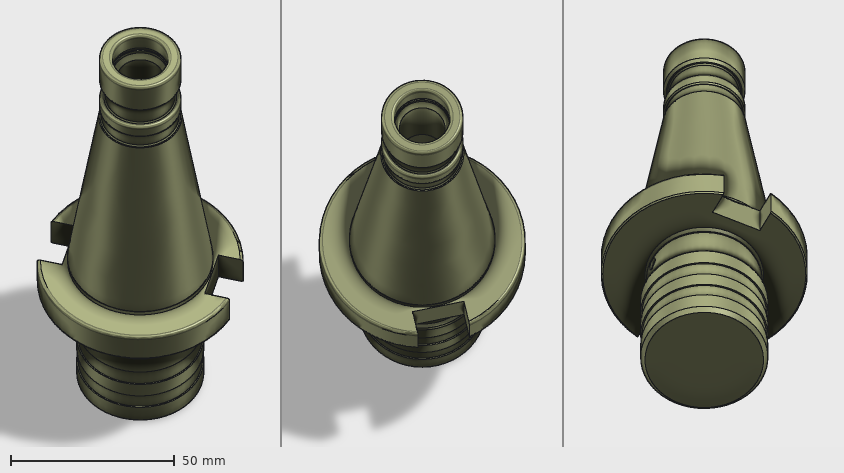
import cadquery as cq
import math

total_height = 148.4
small_chamfer = 0.5

ring_radius = 19.5
ring_groove_radius = 19.0
grip_bottom_chamfer = 1.3
ring_edge_heights = [7.3, 12.6, 18.0, 23.7]
grip_top = 30.3

neck_radius = 17.7
neck_top = 41.5
undercut_radius = 17.2
undercut_lower_slope = 0.7
undercut_upper_slope = 0.9

flange_diameter = 62.9
flange_radius = flange_diameter / 2
flange_bottom = 43.6
flange_top = 53.7
flange_fillet = 0.96
slot_width = 16.0
slot_flat_distance = 22.5

taper_ratio = 7 / 24
taper_bottom = 55.2
taper_top = 120.6
taper_large_radius = 22.3
taper_small_radius = taper_large_radius - (taper_top - taper_bottom) * taper_ratio / 2
taper_groove_radius = 21.8
taper_groove_slope = 0.9

lower_neck_radius = 11.9
collar_radius = 12.5
collar_bottom = 125.2
collar_top = 130.0
upper_neck_radius = 10.7
head_bottom = 137.1
head_chamfer = 0.9
rim_fillet = 0.96

bore_radius = 8.5
relief_radius = 8.9
relief_start = 5.5
relief_end = 6.8
bore_depth = 7.9
pilot_radius = 7.0
pilot_depth = 29.7
drill_half_angle = 59.0

screw_height = 38.9
screw_mouth_diameter = 4.0
screw_mouth_radius = screw_mouth_diameter / 2
screw_radius = 1.3
screw_depth = 2.2
screw_pilot_radius = 0.7
screw_pilot_depth = 3.7


def revolve_outline(outline):
    """Turn a closed (radius, height) outline around the Z axis."""
    return cq.Workplane("YZ").polyline(outline).close().revolve(360, (0, 0), (0, 1))


def round_rim(body, radius, height, fillet):
    """Fillet the circular edge with the given radius and height."""
    def is_rim(edge):
        if edge.geomType() != "CIRCLE":
            return False
        return math.isclose(edge.radius(), radius) and math.isclose(edge.Center().z, height)
    return body.edges().filter(is_rim).fillet(fillet)


def make_body():
    """Turned body, outlined from the bottom centre up to the top centre."""
    outline = [
        (0, 0),
        (ring_radius - grip_bottom_chamfer, 0),
        (ring_radius, grip_bottom_chamfer),
    ]
    radius, next_radius = ring_radius, ring_groove_radius
    for height in ring_edge_heights:
        outline += [(radius, height), (next_radius, height)]
        radius, next_radius = next_radius, radius
    outline += [
        (ring_radius, grip_top - small_chamfer),
        (ring_radius - small_chamfer, grip_top),
        (neck_radius, grip_top),
        (neck_radius, neck_top),
        (undercut_radius, neck_top + undercut_lower_slope),
        (undercut_radius, flange_bottom - undercut_upper_slope),
        (undercut_radius + undercut_upper_slope, flange_bottom),
        (flange_radius - small_chamfer, flange_bottom),
        (flange_radius, flange_bottom + small_chamfer),
        (flange_radius, flange_top),
        (taper_large_radius, flange_top),
        (taper_groove_radius, flange_top + taper_groove_slope),
        (taper_groove_radius, taper_bottom - small_chamfer),
        (taper_large_radius, taper_bottom),
        (taper_small_radius, taper_top),
        (lower_neck_radius + small_chamfer, taper_top),
        (lower_neck_radius, taper_top + small_chamfer),
        (lower_neck_radius, collar_bottom),
        (collar_radius - small_chamfer, collar_bottom),
        (collar_radius, collar_bottom + small_chamfer),
        (collar_radius, collar_top),
        (upper_neck_radius + small_chamfer, collar_top),
        (upper_neck_radius, collar_top + small_chamfer),
        (upper_neck_radius, head_bottom - small_chamfer),
        (upper_neck_radius + small_chamfer, head_bottom),
        (collar_radius - head_chamfer, head_bottom),
        (collar_radius, head_bottom + head_chamfer),
        (collar_radius, total_height),
        (0, total_height),
    ]
    body = revolve_outline(outline)
    body = round_rim(body, flange_radius, flange_top, flange_fillet)
    return round_rim(body, collar_radius, collar_top, rim_fillet)


def make_bore():
    """Bore with a relief groove, narrowing at 45 degrees to a drilled pilot."""
    step_end = bore_depth + bore_radius - pilot_radius
    tip_depth = pilot_depth + pilot_radius / math.tan(math.radians(drill_half_angle))
    return revolve_outline([
        (0, total_height),
        (bore_radius, total_height),
        (bore_radius, total_height - relief_start),
        (relief_radius, total_height - relief_start),
        (relief_radius, total_height - relief_end),
        (bore_radius, total_height - relief_end),
        (bore_radius, total_height - bore_depth),
        (pilot_radius, total_height - step_end),
        (pilot_radius, total_height - pilot_depth),
        (0, total_height - tip_depth),
    ])


def make_slots():
    """Two drive slots on opposite sides, through the full flange thickness."""
    length = flange_radius - slot_flat_distance
    x = slot_flat_distance + length / 2
    slots = cq.Workplane("XY", origin=(0, 0, flange_bottom)).pushPoints([(-x, 0), (x, 0)])
    return slots.rect(length, slot_width).extrude(flange_top - flange_bottom)


def make_screw_hole():
    """Countersunk hole, reaching inward from the neck surface, with a finer pilot."""
    countersink = screw_mouth_radius - screw_radius
    return cq.Workplane("XY", origin=(0, -neck_radius, screw_height)).polyline([
        (0, 0),
        (screw_mouth_radius, 0),
        (screw_radius, countersink),
        (screw_radius, screw_depth),
        (screw_pilot_radius, screw_depth),
        (screw_pilot_radius, screw_pilot_depth),
        (0, screw_pilot_depth),
    ]).close().revolve(360, (0, 0), (0, 1))


body = make_body().cut(make_bore())
body = body.faces(">Z").edges().fillet(rim_fillet)
result = body.cut(make_slots()).cut(make_screw_hole())